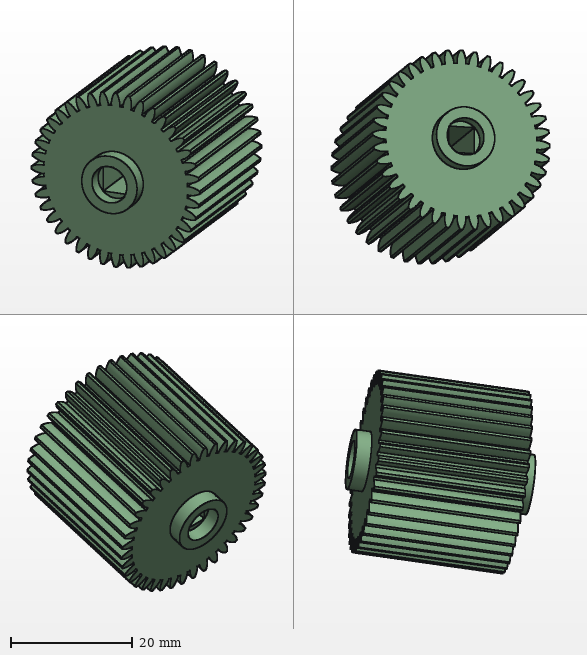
import cadquery as cq
import math

tooth_count = 40
tip_diameter = 30.4
root_diameter = 26.0
tooth_root_width = 1.52
tooth_middle_width = 1.35
tooth_tip_width = 0.5
gear_length = 25.02

overall_length = 30.0
hub_diameter = 10.0
hub_bore_diameter = 6.3
hub_length = (overall_length - gear_length) / 2

square_side = 4.4

tip_radius = tip_diameter / 2
root_radius = root_diameter / 2
middle_radius = (root_radius + tip_radius) / 2


def polar(radius, angle):
    """Point at a radius, with the angle measured from the vertical."""
    return (radius * math.sin(angle), radius * math.cos(angle))


def gear_outline():
    """Closed outline of all the teeth, each with one convex arc per flank."""
    pitch_angle = 2 * math.pi / tooth_count
    root_half = math.asin(tooth_root_width / 2 / root_radius)
    middle_half = math.asin(tooth_middle_width / 2 / middle_radius)
    tip_half = math.asin(tooth_tip_width / 2 / tip_radius)
    outline = cq.Workplane("XZ").moveTo(*polar(root_radius, -root_half))
    for index in range(tooth_count):
        center = index * pitch_angle
        outline = (
            outline
            .threePointArc(polar(middle_radius, center - middle_half), polar(tip_radius, center - tip_half))
            .threePointArc(polar(tip_radius, center), polar(tip_radius, center + tip_half))
            .threePointArc(polar(middle_radius, center + middle_half), polar(root_radius, center + root_half))
            .threePointArc(polar(root_radius, center + pitch_angle / 2),
                           polar(root_radius, center + pitch_angle - root_half))
        )
    return outline.close()


def gear_body():
    """Toothed body centered on the origin, with the square hole through it."""
    square_hole = cq.Workplane("XZ").rect(square_side, square_side).extrude(gear_length / 2, both=True)
    return gear_outline().extrude(gear_length / 2, both=True).cut(square_hole)


def hub_ring():
    """Ring hub on the -Y end face of the toothed body."""
    return (
        cq.Workplane("XZ")
        .workplane(offset=gear_length / 2)
        .circle(hub_diameter / 2)
        .circle(hub_bore_diameter / 2)
        .extrude(hub_length)
    )


front_hub = hub_ring()
back_hub = front_hub.mirror("XZ")
result = gear_body().union(front_hub).union(back_hub)